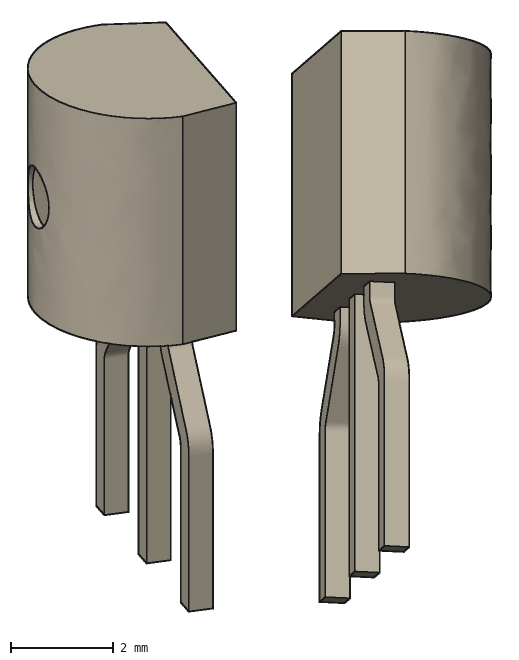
import cadquery as cq
import math

body_width = 4.84
body_height = 4.84
body_depth = 3.43
back_width = 4.24
taper_depth = 1.21

mark_diameter = 1.25
mark_depth = 0.17
mark_height = 2.46

lead_size = 0.5
lead_length = 5.53
lead_pitch = 2.54
root_pitch = lead_pitch / 2
bend_inner_radius = 0.25
upper_bend_depth = 0.47
lower_bend_depth = 2.03

front_y = taper_depth - body_depth


def make_body():
    half_width = body_width / 2
    half_back = back_width / 2
    front_depth = body_depth - taper_depth
    tapered_back = (
        cq.Workplane("XY")
        .polyline([
            (half_width, 0),
            (half_back, taper_depth),
            (-half_back, taper_depth),
            (-half_width, 0),
        ])
        .close()
        .extrude(body_height)
    )
    front_half_block = (
        cq.Workplane("XY")
        .box(body_width, front_depth, body_height, centered=(True, False, False))
        .translate((0, front_y, 0))
    )
    elliptical_front = (
        cq.Workplane("XY")
        .ellipse(half_width, front_depth)
        .extrude(body_height)
        .intersect(front_half_block)
    )
    return tapered_back.union(elliptical_front)


def make_mark_cutter():
    floor_y = front_y + mark_depth
    return (
        cq.Workplane("XZ", origin=(0, floor_y, mark_height))
        .circle(mark_diameter / 2)
        .extrude(2 * mark_depth)
    )


def make_straight_lead():
    return (
        cq.Workplane("XY")
        .box(lead_size, lead_size, lead_length, centered=(True, False, False))
        .translate((0, 0, -lead_length))
    )


def round_bends(lead, side, bends, radius):
    for x, z in bends:
        edge_middle = (side * x, lead_size / 2, z)
        lead = lead.edges(cq.selectors.NearestToPointSelector(edge_middle)).fillet(radius)
    return lead


def make_bent_lead(side):
    """Lead spread outward by two opposite bends; side is +1 or -1 along X."""
    half_size = lead_size / 2
    slope_angle = math.atan2(lead_pitch - root_pitch, lower_bend_depth - upper_bend_depth)
    miter_shift = half_size * math.tan(slope_angle / 2)
    root_inner = root_pitch - half_size
    root_outer = root_pitch + half_size
    tip_inner = lead_pitch - half_size
    tip_outer = lead_pitch + half_size
    corners = [
        (root_inner, 0),
        (root_outer, 0),
        (root_outer, -upper_bend_depth + miter_shift),
        (tip_outer, -lower_bend_depth + miter_shift),
        (tip_outer, -lead_length),
        (tip_inner, -lead_length),
        (tip_inner, -lower_bend_depth - miter_shift),
        (root_inner, -upper_bend_depth - miter_shift),
    ]
    inside_bends = [corners[2], corners[6]]
    outside_bends = [corners[3], corners[7]]
    lead = (
        cq.Workplane("XZ")
        .polyline([(side * x, z) for x, z in corners])
        .close()
        .extrude(-lead_size)
    )
    lead = round_bends(lead, side, inside_bends, bend_inner_radius)
    return round_bends(lead, side, outside_bends, bend_inner_radius + lead_size)


result = make_body().cut(make_mark_cutter()).union(make_straight_lead())
for side in (-1, 1):
    result = result.union(make_bent_lead(side))